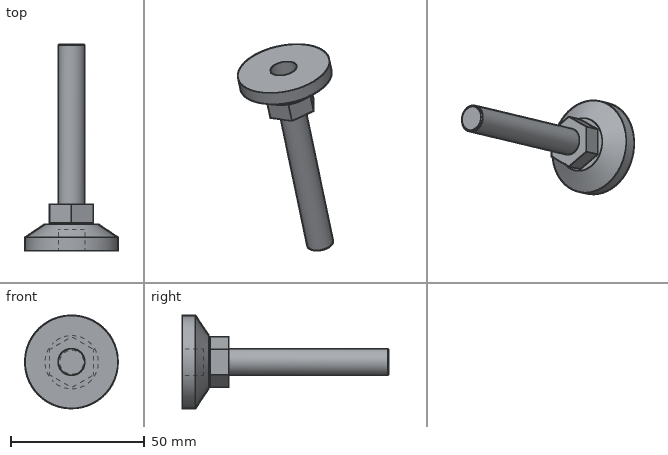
import cadquery as cq
import math

total_length = 77.5

pad_diameter = 35.0
pad_rim_height = 5.0
pad_height = 10.0
pad_top_diameter = 20.0

hole_diameter = 10.0
hole_depth = 8.0

stud_diameter = 10.0
stud_tip_chamfer = 0.5

nut_gap = 0.5
nut_height = 7.0
nut_across_flats = 16.5
nut_across_corners = nut_across_flats / math.cos(math.pi / 6)


def plane_at(y):
    """Plane at height y along the axis: normal +Y, local x along Z, local y along X."""
    return cq.Workplane(cq.Plane(origin=(0, y, 0), xDir=(0, 0, 1), normal=(0, 1, 0)))


def make_pad():
    """Pad revolved about the Y axis from its half section."""
    return (
        cq.Workplane("XY")
        .moveTo(0, 0)
        .lineTo(pad_diameter / 2, 0)
        .lineTo(pad_diameter / 2, pad_rim_height)
        .lineTo(pad_top_diameter / 2, pad_height)
        .lineTo(0, pad_height)
        .close()
        .revolve(360, (0, 0, 0), (0, 1, 0))
    )


def make_stud():
    """Round stud from the pad top to the tip, with a chamfered tip."""
    stud = plane_at(pad_height).circle(stud_diameter / 2).extrude(total_length - pad_height)
    return stud.faces(">Y").chamfer(stud_tip_chamfer)


def make_nut():
    """Hexagonal nut with two corners pointing along Z."""
    return plane_at(pad_height + nut_gap).polygon(6, nut_across_corners).extrude(nut_height)


def make_hole():
    """Cutter for the blind hole in the underside of the pad."""
    return plane_at(0).circle(hole_diameter / 2).extrude(hole_depth)


result = make_pad().union(make_stud()).union(make_nut()).cut(make_hole())